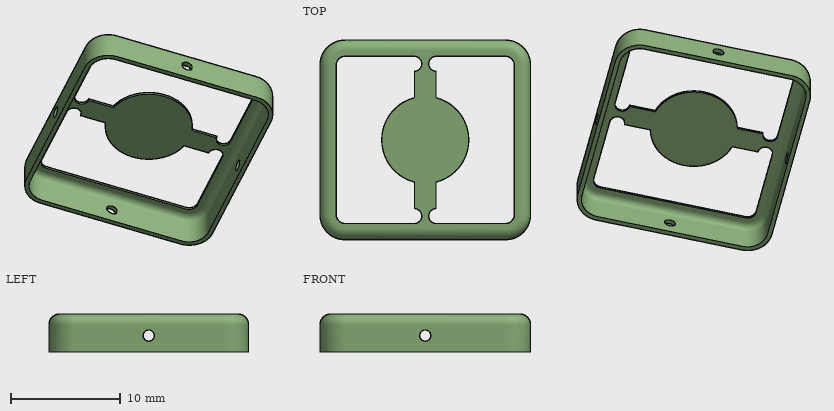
import cadquery as cq

LENGTH = 19.3
WIDTH = 18.3
HEIGHT = 3.5
CORNER_RADIUS = 2.3
TOP_ROUND = 1.0
WALL = 0.4

PLATE_THICKNESS = 0.25
LIP_INSET = 1.5
WINDOW_RADIUS = 0.81
DISC_DIAMETER = 7.99
ARM_WIDTH = 2.0
NOTCH_RADIUS = 0.68

HOLE_DIAMETER = 1.0
HOLE_HEIGHT = 1.5

PLATE_BOTTOM = HEIGHT - PLATE_THICKNESS
WINDOW_LENGTH = LENGTH - 2 * LIP_INSET
WINDOW_WIDTH = WIDTH - 2 * LIP_INSET


def rounded_block(length, width, height, radius):
    """Block standing on Z = 0 with rounded vertical edges."""
    return cq.Workplane("XY").box(length, width, height, centered=(True, True, False)).edges("|Z").fillet(radius)


def make_shell():
    """Round-topped cover, hollow from below up to the thin top plate."""
    body = rounded_block(LENGTH, WIDTH, HEIGHT, CORNER_RADIUS).faces(">Z").edges().fillet(TOP_ROUND)
    cavity = rounded_block(LENGTH - 2 * WALL, WIDTH - 2 * WALL, PLATE_BOTTOM, CORNER_RADIUS - WALL)
    cavity = cavity.faces(">Z").edges().fillet(TOP_ROUND - WALL)
    return body.cut(cavity)


def make_window():
    """Opening in the top plate, leaving the disc, its arms and their necks."""
    opening = rounded_block(WINDOW_LENGTH, WINDOW_WIDTH, PLATE_THICKNESS, WINDOW_RADIUS)
    arms = cq.Workplane("XY").box(ARM_WIDTH, WINDOW_WIDTH, PLATE_THICKNESS, centered=(True, True, False))
    disc = cq.Workplane("XY").circle(DISC_DIAMETER / 2).extrude(PLATE_THICKNESS)
    notches = (
        cq.Workplane("XY")
        .rect(ARM_WIDTH, WINDOW_WIDTH - 2 * NOTCH_RADIUS, forConstruction=True)
        .vertices()
        .circle(NOTCH_RADIUS)
        .extrude(PLATE_THICKNESS)
    )
    return opening.cut(arms).cut(disc).union(notches).translate((0, 0, PLATE_BOTTOM))


def make_cross_hole(plane, span):
    """Round bar running through both opposite walls."""
    return cq.Workplane(plane).center(0, HOLE_HEIGHT).circle(HOLE_DIAMETER / 2).extrude(span / 2, both=True)


result = (
    make_shell()
    .cut(make_window())
    .cut(make_cross_hole("XZ", WIDTH))
    .cut(make_cross_hole("YZ", LENGTH))
)